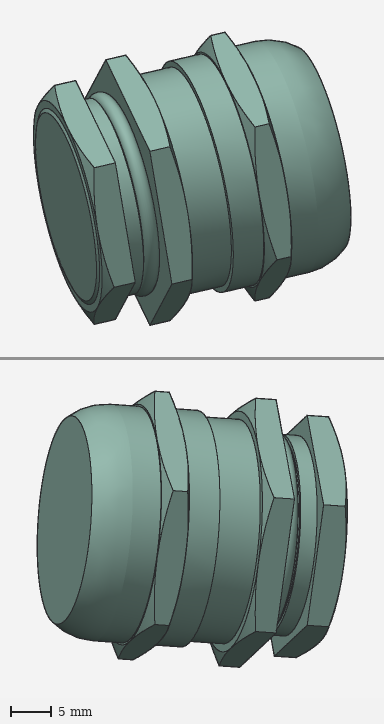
import cadquery as cq
import math


length = 33.0
lock_nut_front = 0.25
lock_nut_back = 3.88
neck_back = 6.0
seal_center_y = 7.2
body_hex_front = 8.1
body_hex_back = 11.6
cap_front = 17.0
cap_hex_front = 21.0
cap_hex_back = 24.6
dome_start = 28.2

front_face_diameter = 24.0
neck_diameter = 25.0
body_diameter = 28.0
cap_diameter = 29.5
dome_end_diameter = 25.98
seal_center_diameter = 24.0
seal_section_radius = 1.0

large_hex_corners = 34.65
lock_nut_corners = 31.18
corner_drop = 0.85

seal_center_radius = seal_center_diameter / 2
seal_outer_radius = seal_center_radius + seal_section_radius
seal_front = seal_center_y - seal_section_radius
seal_contact_radius = seal_center_radius + math.sqrt(
    seal_section_radius**2 - (body_hex_front - seal_center_y) ** 2
)


def revolve_about_y(profile):
    return profile.close().revolve(360, (0, 0, 0), (0, 1, 0))


def hex_nut(front, back, corners, chamfer_front, chamfer_back):
    """Hexagon with corners on the X axis, its corners turned down by cones."""
    corner_radius = corners / 2
    flat_radius = corner_radius * math.cos(math.pi / 6)
    front_radius = flat_radius if chamfer_front else corner_radius
    back_radius = flat_radius if chamfer_back else corner_radius
    prism = (
        cq.Workplane("XZ", origin=(0, front, 0))
        .polygon(6, corners)
        .extrude(front - back)
    )
    envelope = revolve_about_y(
        cq.Workplane("XY")
        .moveTo(0, front)
        .lineTo(front_radius, front)
        .lineTo(corner_radius, front + corner_drop)
        .lineTo(corner_radius, back - corner_drop)
        .lineTo(back_radius, back)
        .lineTo(0, back)
    )
    return prism.intersect(envelope)


def stepped_core():
    """Round core from the plugged front face, past the O-ring, to the domed cap."""
    cap_radius = cap_diameter / 2
    dome_end_radius = dome_end_diameter / 2
    return revolve_about_y(
        cq.Workplane("XY")
        .lineTo(front_face_diameter / 2, 0)
        .lineTo(neck_diameter / 2, lock_nut_front)
        .lineTo(neck_diameter / 2, neck_back)
        .lineTo(seal_center_radius, neck_back)
        .lineTo(seal_center_radius, seal_front)
        .threePointArc((seal_outer_radius, seal_center_y), (seal_contact_radius, body_hex_front))
        .lineTo(body_diameter / 2, body_hex_front)
        .lineTo(body_diameter / 2, cap_front)
        .lineTo(cap_radius, cap_front)
        .lineTo(cap_radius, dome_start)
        .tangentArcPoint((dome_end_radius, length), relative=False)
        .lineTo(0, length)
    )


lock_nut = hex_nut(lock_nut_front, lock_nut_back, lock_nut_corners, True, False)
body_hex = hex_nut(body_hex_front, body_hex_back, large_hex_corners, False, True)
cap_hex = hex_nut(cap_hex_front, cap_hex_back, large_hex_corners, True, True)

result = (
    stepped_core()
    .union(lock_nut)
    .union(body_hex)
    .union(cap_hex)
)